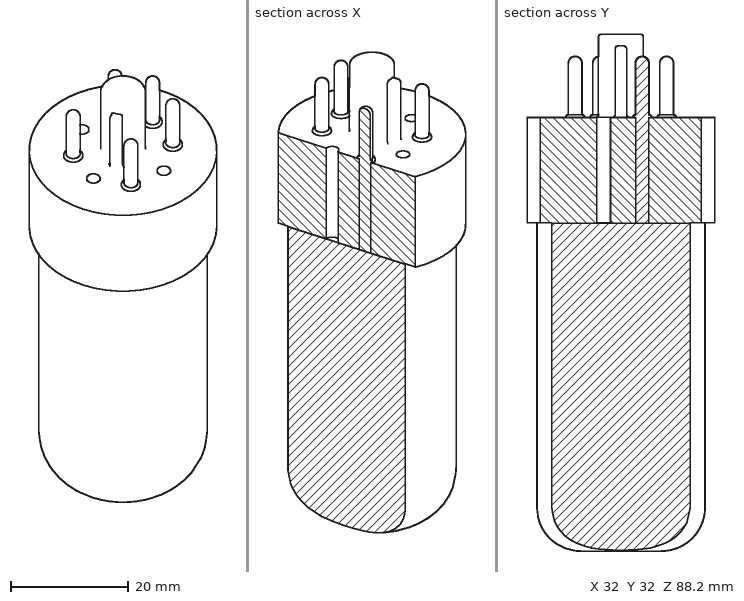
import cadquery as cq
import math

total_height = 88.25

glass_diameter = 28.8
glass_bottom_radius = 7.5

base_diameter = 32.0
base_bottom_z = 56.0
base_top_z = 74.0
spigot_diameter = 7.7
blend_radius = 0.5

key_radius = 1.0
key_center_offset = 4.7
key_top_z = 86.2

pin_diameter = 2.4
pin_foot_diameter = 3.3
hole_diameter = 2.3
pin_circle_diameter = 17.2
pin_top_z = 84.45
position_count = 8
position_step = 360 / position_count
first_position_angle = 25.0
pin_positions = [0, 1, 2, 4, 6]

pin_circle_radius = pin_circle_diameter / 2
pin_radius = pin_diameter / 2
pin_foot_height = (pin_foot_diameter - pin_diameter) / 2
hole_radius = hole_diameter / 2
base_height = base_top_z - base_bottom_z


def position_center(index):
    """Return the X, Y center of one position on the pin circle."""
    angle = math.radians(first_position_angle + index * position_step)
    return (pin_circle_radius * math.cos(angle), pin_circle_radius * math.sin(angle))


def make_glass():
    """Solid glass envelope with a rounded closed end, butted against the base."""
    glass = cq.Workplane("XY").circle(glass_diameter / 2).extrude(base_bottom_z)
    return glass.faces("<Z").edges().fillet(glass_bottom_radius)


def make_spigot():
    """Central post with a rounded top rim, standing on the base."""
    spigot = (
        cq.Workplane("XY", origin=(0, 0, base_top_z))
        .circle(spigot_diameter / 2)
        .extrude(total_height - base_top_z)
    )
    return spigot.faces(">Z").edges().fillet(blend_radius)


def make_key():
    """Upright key: a flat-sided rib with a half-round front and a rounded top edge."""
    key = (
        cq.Workplane("XY", origin=(0, 0, base_top_z))
        .moveTo(-key_radius, 0)
        .lineTo(-key_radius, -key_center_offset)
        .threePointArc((0, -key_center_offset - key_radius), (key_radius, -key_center_offset))
        .lineTo(key_radius, 0)
        .close()
        .extrude(key_top_z - base_top_z)
    )
    return key.faces(">Z").edges("not >Y").fillet(blend_radius)


def make_base():
    """Base cap with spigot and key, blended at their foot, and through holes at all pin positions."""
    cap = cq.Workplane("XY", origin=(0, 0, base_bottom_z)).circle(base_diameter / 2).extrude(base_height)
    base = cap.union(make_spigot().union(make_key()))

    box_reach = spigot_diameter
    foot_box = cq.selectors.BoxSelector(
        (-box_reach, -box_reach, base_top_z - blend_radius / 2),
        (box_reach, box_reach, base_top_z + blend_radius / 2),
        boundingbox=True,
    )
    base = base.edges(foot_box).fillet(blend_radius)

    centers = [position_center(index) for index in range(position_count)]
    holes = (
        cq.Workplane("XY", origin=(0, 0, base_bottom_z))
        .pushPoints(centers)
        .circle(hole_radius)
        .extrude(base_height)
    )
    return base.cut(holes)


def make_pin(index):
    """Pin filling its hole in the base, with a round-shouldered foot on the base face and a domed tip."""
    x, y = position_center(index)
    dome_start_z = pin_top_z - pin_radius
    dome_offset = pin_radius * math.sqrt(0.5)
    foot_offset = pin_foot_height * math.sqrt(0.5)
    profile = (
        cq.Workplane("XZ")
        .moveTo(0, base_bottom_z)
        .lineTo(hole_radius, base_bottom_z)
        .lineTo(hole_radius, base_top_z)
        .lineTo(pin_foot_diameter / 2, base_top_z)
        .threePointArc(
            (pin_radius + foot_offset, base_top_z + foot_offset),
            (pin_radius, base_top_z + pin_foot_height),
        )
        .lineTo(pin_radius, dome_start_z)
        .threePointArc((dome_offset, dome_start_z + dome_offset), (0, pin_top_z))
        .close()
    )
    pin = profile.revolve(360, (0, 0, 0), (0, 1, 0))
    return pin.translate((x, y, 0))


glass = make_glass()
base = make_base()
pins = [make_pin(index) for index in pin_positions]

result = cq.Compound.makeCompound([glass.val(), base.val(), *[pin.val() for pin in pins]])